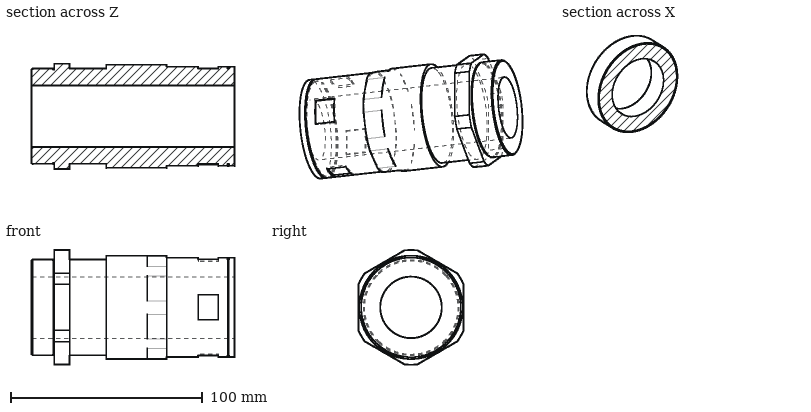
import cadquery as cq
import math

LENGTH = 106.0
BORE_DIAMETER = 32.0

THREAD_DIAMETER = 50.0
THREAD_CHAMFER = 0.6
UNDERCUT_DIAMETER = 49.0
UNDERCUT_WIDTH = 0.6

HEX_SIDES = 6
HEX_START = 11.9
HEX_THICKNESS = 8.0
HEX_ACROSS_FLATS = 55.0
HEX_CORNER_DIAMETER = 60.0

COLLAR_START = 39.0
COLLAR_END = 70.5
COLLAR_DIAMETER = 54.02
WRENCH_FLAT_COUNT = 8
WRENCH_FLAT_LENGTH = 10.0
WRENCH_ACROSS_FLATS = 52.2

SLEEVE_DIAMETER = 52.0
WINDOW_COUNT = 4
WINDOW_START = 87.0
WINDOW_LENGTH = 10.4
WINDOW_WIDTH = 13.0
WINDOW_FLOOR_DIAMETER = 50.0
END_RING_WIDTH = 3.0
GROOVE_WIDTH = 0.6
GROOVE_DIAMETER = 50.0


def cylinder(start, end, diameter):
    """Solid cylinder on the X axis between two X positions."""
    return cq.Workplane("YZ", origin=(start, 0, 0)).circle(diameter / 2).extrude(end - start)


def prism(start, length, sides, across_flats):
    """Regular prism on the X axis with one corner on the Z axis."""
    corner_diameter = across_flats / math.cos(math.pi / sides)
    outline = cq.Workplane("YZ", origin=(start, 0, 0)).polygon(sides, corner_diameter)
    return outline.extrude(length).rotate((0, 0, 0), (1, 0, 0), 90)


def ring_groove(start, width, floor_diameter):
    """Cutter for a groove that runs around the outside of the part."""
    end = start + width
    return cylinder(start, end, HEX_CORNER_DIAMETER).cut(cylinder(start, end, floor_diameter))


def threaded_body():
    body = cylinder(0, COLLAR_START, THREAD_DIAMETER).faces("<X").chamfer(THREAD_CHAMFER)
    return body.cut(ring_groove(HEX_START - UNDERCUT_WIDTH, UNDERCUT_WIDTH, UNDERCUT_DIAMETER))


def hex_nut():
    nut = prism(HEX_START, HEX_THICKNESS, HEX_SIDES, HEX_ACROSS_FLATS)
    return nut.intersect(cylinder(HEX_START, HEX_START + HEX_THICKNESS, HEX_CORNER_DIAMETER))


def collar():
    flats_start = COLLAR_END - WRENCH_FLAT_LENGTH
    round_part = cylinder(COLLAR_START, flats_start, COLLAR_DIAMETER)
    flat_part = prism(flats_start, WRENCH_FLAT_LENGTH, WRENCH_FLAT_COUNT, WRENCH_ACROSS_FLATS)
    flat_part = flat_part.intersect(cylinder(flats_start, COLLAR_END, COLLAR_DIAMETER))
    return round_part.union(flat_part)


def sleeve():
    body = cylinder(COLLAR_END, LENGTH, SLEEVE_DIAMETER)
    window = cq.Workplane("XY").box(
        WINDOW_LENGTH, WINDOW_WIDTH, SLEEVE_DIAMETER, centered=(False, True, False)
    )
    window = window.translate((WINDOW_START, 0, 0))
    window = window.cut(cylinder(WINDOW_START, WINDOW_START + WINDOW_LENGTH, WINDOW_FLOOR_DIAMETER))
    for index in range(WINDOW_COUNT):
        body = body.cut(window.rotate((0, 0, 0), (1, 0, 0), index * 360 / WINDOW_COUNT))
    groove_start = LENGTH - END_RING_WIDTH - GROOVE_WIDTH
    return body.cut(ring_groove(groove_start, GROOVE_WIDTH, GROOVE_DIAMETER))


outside = threaded_body().union(hex_nut()).union(collar()).union(sleeve())
result = outside.cut(cylinder(0, LENGTH, BORE_DIAMETER))